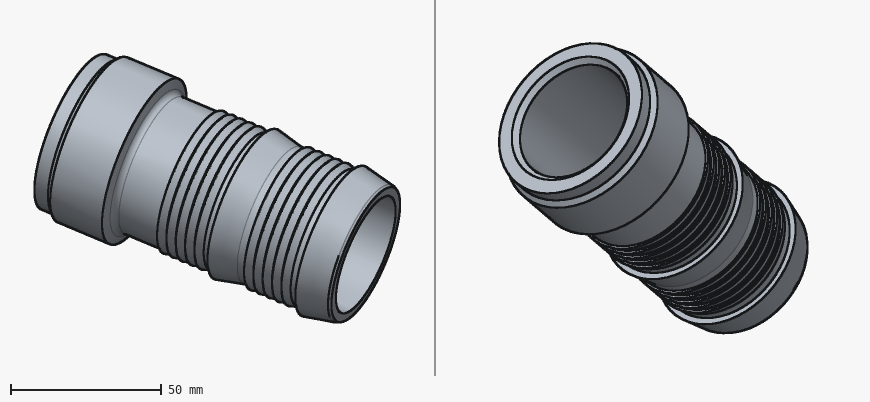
import cadquery as cq
import math

length = 110.0
bore_radius = 42.0 / 2
mouth_chamfer = 2.0

lip_radius = 56.0 / 2
lip_end = 5.2
collar_radius = 59.6 / 2
collar_chamfer = collar_radius - lip_radius
collar_end = 26.5
shoulder_tilt = math.radians(20)
root_fillet = 2.5

tail_radius = 49.5 / 2
ridge_radius = 25.7
ridge_length = 3.0
ridge_pitch = 3.5
ridges_per_group = 5
ridge_group_starts = (45.1, 77.9)
barb_radius = 27.1
middle_barb_start = 64.8
middle_barb_end = 74.8
end_barb_start = 97.9
tip_chamfer_length = 1.0
tip_radius = 24.2


def shoulder_fillet():
    """Return the start, middle and end (x, r) of the arc from shoulder to tail."""
    sweep = math.pi / 2 - shoulder_tilt
    start_radius = tail_radius + root_fillet * (1 - math.cos(sweep))
    start_x = collar_end + (collar_radius - start_radius) * math.tan(shoulder_tilt)
    end_x = start_x + root_fillet * math.sin(sweep)
    middle = (
        end_x - root_fillet * math.sin(sweep / 2),
        tail_radius + root_fillet * (1 - math.cos(sweep / 2)),
    )
    return (start_x, start_radius), middle, (end_x, tail_radius)


def tooth(profile, start, end, crest_radius):
    """Add a saw tooth: a square step up, then a slope back down to the tail."""
    return (
        profile.lineTo(start, tail_radius)
        .lineTo(start, crest_radius)
        .lineTo(end, tail_radius)
    )


def ridge_group(profile, group_start):
    """Add one row of fine gripping ridges."""
    for index in range(ridges_per_group):
        start = group_start + index * ridge_pitch
        profile = tooth(profile, start, start + ridge_length, ridge_radius)
    return profile


fillet_start, fillet_middle, fillet_end = shoulder_fillet()
profile = (
    cq.Workplane("XY")
    .moveTo(mouth_chamfer, bore_radius)
    .lineTo(0, bore_radius + mouth_chamfer)
    .lineTo(0, lip_radius)
    .lineTo(lip_end, lip_radius)
    .lineTo(lip_end + collar_chamfer, collar_radius)
    .lineTo(collar_end, collar_radius)
    .lineTo(*fillet_start)
    .threePointArc(fillet_middle, fillet_end)
)
profile = ridge_group(profile, ridge_group_starts[0])
profile = tooth(profile, middle_barb_start, middle_barb_end, barb_radius)
profile = ridge_group(profile, ridge_group_starts[1])
profile = tooth(profile, end_barb_start, length - tip_chamfer_length, barb_radius)
profile = profile.lineTo(length, tip_radius).lineTo(length, bore_radius).close()

result = profile.revolve(360, (0, 0, 0), (1, 0, 0))